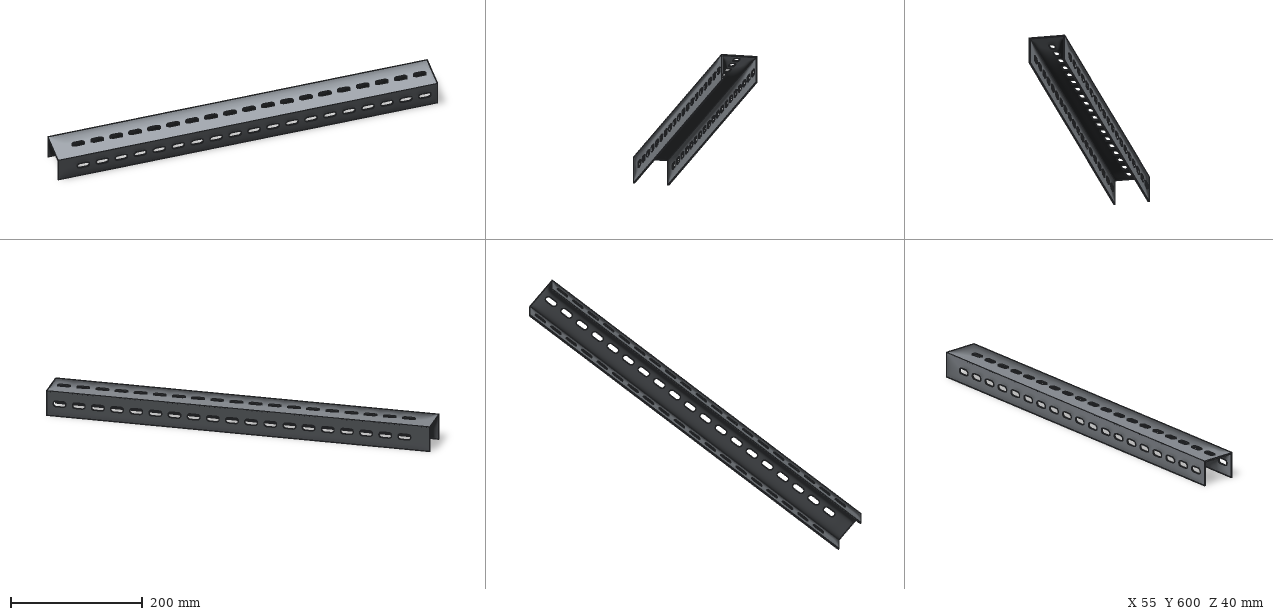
import cadquery as cq

length = 600.0
width = 55.0
height = 40.0
thickness = 2.0

slot_count = 19
slot_pitch = 30.0
slot_length = 20.0
slot_width = 9.0
flange_slot_height = 20.0

slot_gap = slot_pitch - slot_length
first_slot_y = length / 2 - slot_gap - slot_length / 2
slot_centres_y = [first_slot_y - i * slot_pitch for i in range(slot_count)]


def make_channel():
    """U-shaped channel, open at the bottom, resting on Z = 0."""
    outer = cq.Workplane("XY").box(width, length, height, centered=(True, True, False))
    inside = cq.Workplane("XY").box(
        width - 2 * thickness, length, height - thickness, centered=(True, True, False)
    )
    return outer.cut(inside)


def make_web_slots():
    """Cutters passing down through the web, on its centre line."""
    return (
        cq.Workplane("XY", origin=(0, 0, height - thickness))
        .pushPoints([(0, y) for y in slot_centres_y])
        .slot2D(slot_length, slot_width, 90)
        .extrude(thickness)
    )


def make_flange_slots():
    """Cutters passing across both flanges, slightly below mid height."""
    return (
        cq.Workplane("YZ", origin=(-width / 2, 0, 0))
        .pushPoints([(y, flange_slot_height) for y in slot_centres_y])
        .slot2D(slot_length, slot_width)
        .extrude(width)
    )


result = make_channel().cut(make_web_slots()).cut(make_flange_slots())